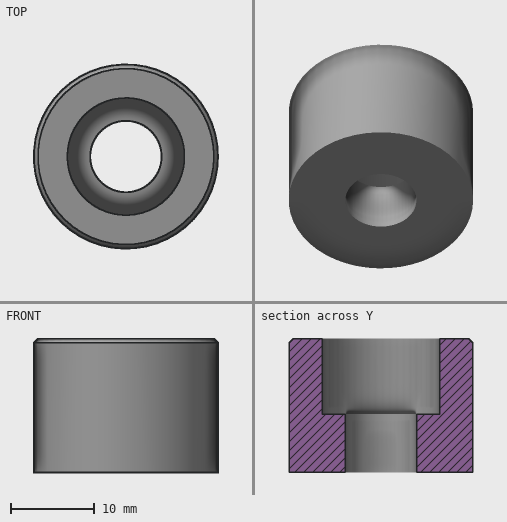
import cadquery as cq

outer_diameter = 22.0
height = 16.0
top_chamfer = 0.5

counterbore_diameter = 14.0
counterbore_depth = 9.0
hole_diameter = 8.5


def bushing_body():
    """Cylinder standing on Z = 0 with a chamfered top rim."""
    body = cq.Workplane("XY").circle(outer_diameter / 2).extrude(height)
    return body.faces(">Z").edges().chamfer(top_chamfer)


def cut_stepped_bore(body):
    """Through hole with a wide flat-bottomed counterbore from the top."""
    return body.faces(">Z").workplane().cboreHole(
        hole_diameter, counterbore_diameter, counterbore_depth
    )


result = cut_stepped_bore(bushing_body())